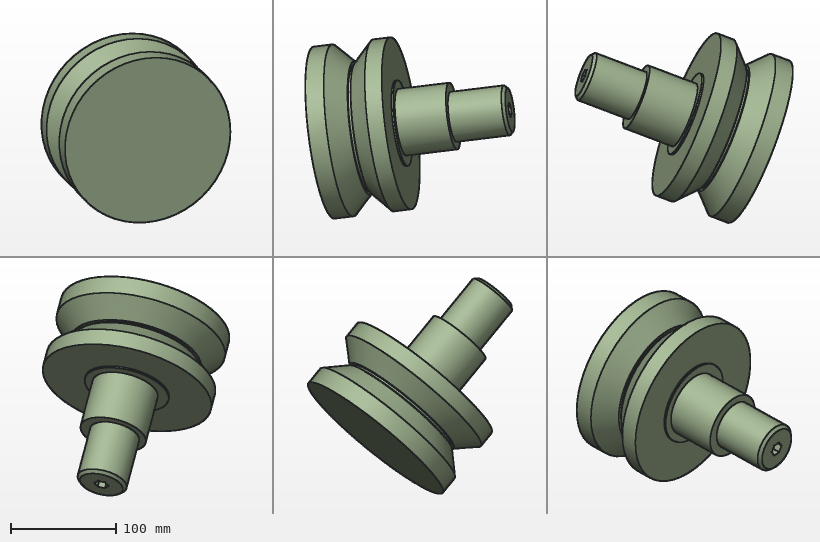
import cadquery as cq
import math

total_length = 181.0
shaft_length = 55.0
boss_length = 49.6
washer_thickness = 1.8
inner_rim_width = 16.5
inner_cone_width = 18.1
groove_width = 3.0
outer_cone_width = 18.8

wheel_radius = 82.5
vee_bottom_radius = 63.9
groove_radius = 60.8
washer_radius = 41.0
boss_radius = 32.0
shaft_radius = 24.0

shaft_chamfer = 3.0
boss_offset_y = 1.5

socket_across_flats = 12.0
socket_depth = 12.0
drill_point_angle = 120.0

boss_start = shaft_length
washer_start = boss_start + boss_length
wheel_start = washer_start + washer_thickness
inner_cone_start = wheel_start + inner_rim_width
groove_start = inner_cone_start + inner_cone_width
groove_end = groove_start + groove_width
outer_cone_end = groove_end + outer_cone_width


def cylinder(start, length, radius, offset_y=0.0):
    """Cylinder along +X from the given start."""
    return cq.Workplane("YZ", origin=(start, offset_y, 0)).circle(radius).extrude(length)


def make_wheel():
    """V-grooved wheel with a narrow relief groove at the bottom of the vee."""
    profile = [
        (wheel_start, 0),
        (wheel_start, wheel_radius),
        (inner_cone_start, wheel_radius),
        (groove_start, vee_bottom_radius),
        (groove_start, groove_radius),
        (groove_end, groove_radius),
        (groove_end, vee_bottom_radius),
        (outer_cone_end, wheel_radius),
        (total_length, wheel_radius),
        (total_length, 0),
    ]
    return cq.Workplane("XY").polyline(profile).close().revolve(360, (0, 0, 0), (1, 0, 0))


def make_socket():
    """Hexagonal recess, corners on Y, cut off by a cone through its corners."""
    corner_radius = socket_across_flats / math.sqrt(3)
    cone_depth = corner_radius / math.tan(math.radians(drill_point_angle / 2))
    socket_end = socket_depth + cone_depth
    hexagon = cq.Workplane("YZ").polygon(6, 2 * corner_radius).extrude(socket_end)
    drill = (
        cq.Workplane("XY")
        .polyline([(0, 0), (0, corner_radius), (socket_depth, corner_radius), (socket_end, 0)])
        .close()
        .revolve(360, (0, 0, 0), (1, 0, 0))
    )
    return hexagon.intersect(drill)


shaft = cylinder(0, shaft_length, shaft_radius).faces("<X").chamfer(shaft_chamfer)
boss = cylinder(boss_start, boss_length, boss_radius, boss_offset_y)
washer = cylinder(washer_start, washer_thickness, washer_radius)

result = make_wheel().union(washer).union(boss).union(shaft).cut(make_socket())